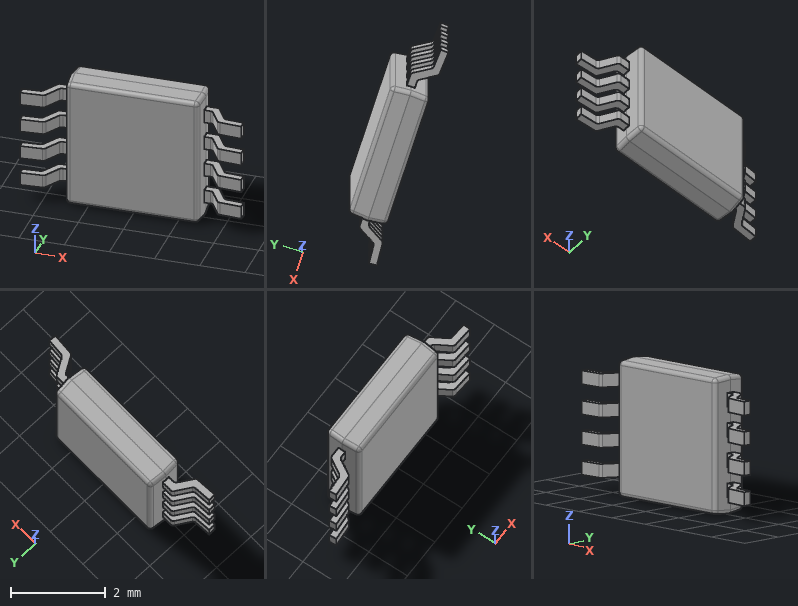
import cadquery as cq
import math

BODY_SIDE = 3.0
BODY_THICKNESS = 0.86
DRAFT_ANGLE = 5.0
BODY_EDGE_RADIUS = 0.1

LEAD_SPAN = 4.92
OVERALL_DEPTH = 0.96
LEADS_PER_SIDE = 4
LEAD_PITCH = 0.65
LEAD_WIDTH = 0.3
LEAD_THICKNESS = 0.175
LEAD_BEND_RADIUS = 0.085
LEAD_ROOT_X = 0.985
KNEE_X = 1.68
RAMP_ANGLE = -59.0
FOOT_ANGLE = -4.0

FOOT_BOTTOM_Y = BODY_THICKNESS / 2 - OVERALL_DEPTH


def make_body():
    """Two mirrored halves that taper away from the parting plane, with only the parting line left sharp."""
    half = (
        cq.Workplane("XZ")
        .rect(BODY_SIDE, BODY_SIDE)
        .extrude(-BODY_THICKNESS / 2, taper=DRAFT_ANGLE)
        .edges("not <Y")
        .fillet(BODY_EDGE_RADIUS)
    )
    return half.union(half.mirror("XZ"))


def across_bend(lower_corner, angle_before, angle_after):
    """Upper corner facing a lower corner, keeping the lead thickness on both sides of the bend."""
    normal = math.radians((angle_before + angle_after) / 2 + 90)
    distance = LEAD_THICKNESS / math.cos(math.radians((angle_before - angle_after) / 2))
    return (
        lower_corner[0] + distance * math.cos(normal),
        lower_corner[1] + distance * math.sin(normal),
    )


def make_lead():
    """One lead on the +X side, centred on Z = 0."""
    ramp_slope = math.tan(math.radians(RAMP_ANGLE))
    foot_slope = math.tan(math.radians(FOOT_ANGLE))
    half_thickness = LEAD_THICKNESS / 2

    knee = (KNEE_X, -half_thickness)
    toe_x = LEAD_SPAN / 2 + LEAD_THICKNESS * math.sin(math.radians(FOOT_ANGLE))
    toe = (toe_x, FOOT_BOTTOM_Y)
    foot_line_at_knee = FOOT_BOTTOM_Y - foot_slope * (toe_x - KNEE_X)
    heel_x = KNEE_X + (foot_line_at_knee + half_thickness) / (ramp_slope - foot_slope)
    heel = (heel_x, ramp_slope * (heel_x - KNEE_X) - half_thickness)

    outline = [
        (LEAD_ROOT_X, -half_thickness),
        knee,
        heel,
        toe,
        across_bend(toe, FOOT_ANGLE, FOOT_ANGLE),
        across_bend(heel, RAMP_ANGLE, FOOT_ANGLE),
        across_bend(knee, 0, RAMP_ANGLE),
        (LEAD_ROOT_X, half_thickness),
    ]
    lead = cq.Workplane("XY").polyline(outline).close().extrude(LEAD_WIDTH / 2, both=True)

    def at_bend(edge):
        """True for the knee and heel edges, false for those at the root and toe."""
        return LEAD_ROOT_X + LEAD_THICKNESS < edge.Center().x < toe_x - LEAD_THICKNESS

    return lead.edges("|Z").filter(at_bend).fillet(LEAD_BEND_RADIUS)


result = make_body()
right_lead = make_lead()
left_lead = right_lead.mirror("YZ")
for index in range(LEADS_PER_SIDE):
    lead_z = (index - (LEADS_PER_SIDE - 1) / 2) * LEAD_PITCH
    result = result.union(right_lead.translate((0, 0, lead_z)))
    result = result.union(left_lead.translate((0, 0, lead_z)))